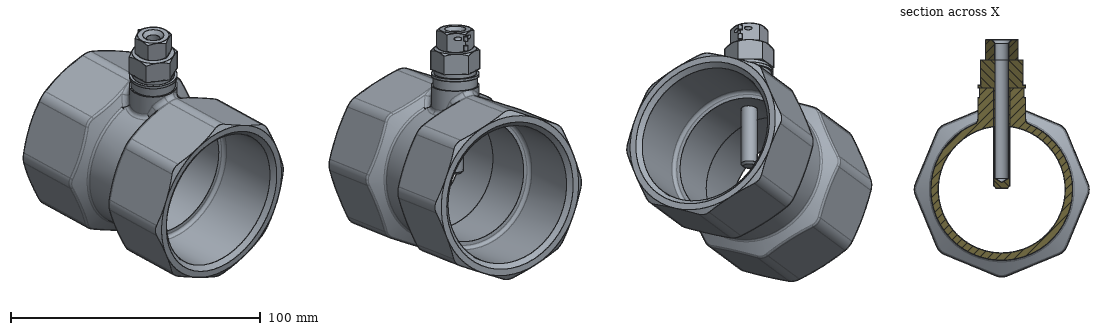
import cadquery as cq
import math

body_length = 80.1
octagon_height = 70.0
octagon_corner_radius = 6.1
cone_angle = 60
collar_shoulder_x = 10.0
neck_diameter = 56.8
edge_fillet = 1.1
bore_diameter = 50.7
socket_diameter = 56.6
socket_depth = 28.8
socket_floor_radius = 1.4
mouth_diameter = 60.4
mouth_chamfer_length = 1.9

boss_diameter = 19.2
boss_top = 36.8
boss_fillet = 2.0
spigot_diameter = 17.9
neck_fillet_gap_angle = 20
seat_z = 40.7

flange_diameter = 19.2
flange_height = 1.0
pocket_neck_diameter = 17.0
pocket_hex_bottom = 43.4
pocket_hex_top = 51.9
pocket_hex_flats = 17.1
pocket_hex_face_diameter = 17.0
rod_diameter = 6.6
rod_tip_z = 0.5
rod_tip_chamfer = 0.95
pocket_bore_diameter = 5.2
pocket_bore_bottom = 2.85
drill_point_angle = 118

total_height = 95.0
cap_hex_flats = 13.0
cap_hex_face_diameter = 12.6
cap_bore_diameter = 5.4
cap_countersink_diameter = 8.5
cap_countersink_depth = 1.5
seal_hole_diameter = 1.5
seal_hole_x = -6.0
seal_hole_z = 57.7
lug_width = 1.5
lug_reach = 8.6
lug_spans = ((52.7, 54.9), (56.8, 58.7))

hex_chamfer_angle = 30
clearance = 0.95

half_length = body_length / 2
half_side_angle = math.radians(180 / 8)
octagon_apothem = octagon_corner_radius + (
    octagon_height / 2 - octagon_corner_radius
) * math.cos(half_side_angle)
octagon_sharp_radius = octagon_apothem / math.cos(half_side_angle)
neck_radius = neck_diameter / 2
cone_slope = math.tan(math.radians(cone_angle))
neck_end_x = collar_shoulder_x - (octagon_apothem - neck_radius) / cone_slope
cap_top = total_height - octagon_height / 2


def upright_cylinder(diameter, bottom, top):
    return cq.Workplane("XY", origin=(0, 0, bottom)).circle(diameter / 2).extrude(top - bottom)


def make_octagon_body():
    """Octagon bar with rounded corners, turned to end chamfers, shoulder cones and neck."""
    octagon = (
        cq.Workplane("YZ", origin=(-half_length, 0, 0))
        .polygon(8, 2 * octagon_sharp_radius)
        .extrude(body_length)
        .edges("|X")
        .fillet(octagon_corner_radius)
    )
    outer_radius = octagon_sharp_radius + clearance
    cone_run = (outer_radius - octagon_apothem) / cone_slope
    half_profile = [
        (neck_end_x, neck_radius),
        (collar_shoulder_x + cone_run, outer_radius),
        (half_length - cone_run, outer_radius),
        (half_length, octagon_apothem),
        (half_length, 0),
    ]
    mirrored_profile = [(-x, radius) for x, radius in reversed(half_profile)]
    turned_envelope = (
        cq.Workplane("XY")
        .polyline(mirrored_profile + half_profile)
        .close()
        .revolve(360, (0, 0), (1, 0))
    )
    return octagon.intersect(turned_envelope)


def round_collar_shoulders(body):
    """Fillet the edges where the octagon flats and corners meet the shoulder cones."""
    corner_x = collar_shoulder_x + (octagon_height / 2 - octagon_apothem) / cone_slope
    for side in (-1, 1):
        shoulder_zone = cq.selectors.BoxSelector(
            (side * (neck_end_x + clearance), -octagon_height, -octagon_height),
            (side * (corner_x + clearance), octagon_height, octagon_height),
        )
        body = body.edges(shoulder_zone).fillet(edge_fillet)
    return body


def add_boss(body):
    """Add the round boss and blend its foot into the neck and the shoulders."""
    blend_top = boss_top + 3 * clearance
    boss = upright_cylinder(boss_diameter, 0, blend_top).rotate((0, 0, 0), (0, 0, 1), 90)
    body = body.union(boss)
    reach = boss_diameter / 2 + clearance / 2
    foot_zone = cq.selectors.BoxSelector(
        (-reach, -reach, bore_diameter / 2), (reach, reach, blend_top - clearance / 2)
    )
    body = body.edges(foot_zone).edges("not |Z").fillet(boss_fillet)
    surplus = upright_cylinder(2 * boss_diameter, boss_top, blend_top + clearance)
    return body.cut(surplus).union(upright_cylinder(spigot_diameter, boss_top - clearance, seat_z))


def neck_corner_fillet(side):
    """Ring that fills the corner between the neck and one shoulder cone with a concave arc."""
    corner_angle = math.radians(cone_angle)
    tangent_length = edge_fillet * math.tan(corner_angle / 2)
    neck_tangent = (side * (neck_end_x - tangent_length), neck_radius)
    cone_tangent = (
        side * (neck_end_x + tangent_length * math.cos(corner_angle)),
        neck_radius + tangent_length * math.sin(corner_angle),
    )
    arc_middle = (
        neck_tangent[0] + side * edge_fillet * math.sin(corner_angle / 2),
        neck_radius + edge_fillet * (1 - math.cos(corner_angle / 2)),
    )
    start_angle = 90 + neck_fillet_gap_angle
    root_radius = neck_radius - clearance
    return (
        cq.Workplane("XY")
        .moveTo(neck_tangent[0], root_radius)
        .lineTo(*neck_tangent)
        .threePointArc(arc_middle, cone_tangent)
        .lineTo(cone_tangent[0], root_radius)
        .close()
        .revolve(360 - 2 * neck_fillet_gap_angle, (0, 0), (1, 0))
        .rotate((0, 0, 0), (1, 0, 0), start_angle)
    )


def socket_bore(side):
    """Chamfered mouth, socket and rounded socket floor at one end of the bore."""
    socket_radius = socket_diameter / 2
    floor_x = half_length - socket_depth
    floor_centre = (floor_x + socket_floor_radius, socket_radius - socket_floor_radius)
    diagonal = socket_floor_radius * math.sqrt(0.5)
    return (
        cq.Workplane("XY")
        .moveTo(side * floor_x, 0)
        .lineTo(side * floor_x, floor_centre[1])
        .threePointArc(
            (side * (floor_centre[0] - diagonal), floor_centre[1] + diagonal),
            (side * floor_centre[0], socket_radius),
        )
        .lineTo(side * (half_length - mouth_chamfer_length), socket_radius)
        .lineTo(side * half_length, mouth_diameter / 2)
        .lineTo(side * half_length, 0)
        .close()
        .revolve(360, (0, 0), (1, 0))
    )


def make_housing():
    """Valve body: two octagon collars, round neck, boss, bore, sockets and rod hole."""
    body = add_boss(round_collar_shoulders(make_octagon_body()))
    through_bore = (
        cq.Workplane("YZ", origin=(-half_length, 0, 0)).circle(bore_diameter / 2).extrude(body_length)
    )
    body = body.cut(through_bore)
    for side in (-1, 1):
        body = body.union(neck_corner_fillet(side)).cut(socket_bore(side))
    return body.cut(upright_cylinder(rod_diameter, 0, seat_z + clearance))


def hexagon(flats, face_diameter, bottom, top, bottom_chamfered):
    """Upright hexagon with corners on the X axis and turned corner chamfers."""
    corner_radius = flats / math.sqrt(3)
    face_radius = face_diameter / 2
    chamfer_drop = (corner_radius - face_radius) * math.tan(math.radians(hex_chamfer_angle))
    blank = cq.Workplane("XY", origin=(0, 0, bottom)).polygon(6, 2 * corner_radius).extrude(top - bottom)
    profile = [(0, top), (face_radius, top), (corner_radius, top - chamfer_drop)]
    if bottom_chamfered:
        profile += [(corner_radius, bottom + chamfer_drop), (face_radius, bottom), (0, bottom)]
    else:
        profile += [(corner_radius, bottom), (0, bottom)]
    envelope = cq.Workplane("XZ").polyline(profile).close().revolve(360, (0, 0), (0, 1))
    return blank.intersect(envelope)


def make_pocket():
    """Sensor pocket: hexagon, neck and flange, with a blind-drilled rod reaching into the bore."""
    flange_top = seat_z + flange_height
    rod = upright_cylinder(rod_diameter, rod_tip_z, seat_z).faces("<Z").chamfer(rod_tip_chamfer)
    head = (
        upright_cylinder(flange_diameter, seat_z, flange_top)
        .union(upright_cylinder(pocket_neck_diameter, flange_top, pocket_hex_bottom))
        .union(hexagon(pocket_hex_flats, pocket_hex_face_diameter, pocket_hex_bottom, pocket_hex_top, False))
    )
    bore_radius = pocket_bore_diameter / 2
    point_depth = bore_radius / math.tan(math.radians(drill_point_angle / 2))
    drilling = (
        cq.Workplane("XZ")
        .moveTo(0, pocket_bore_bottom)
        .lineTo(bore_radius, pocket_bore_bottom + point_depth)
        .lineTo(bore_radius, pocket_hex_top)
        .lineTo(0, pocket_hex_top)
        .close()
        .revolve(360, (0, 0), (0, 1))
    )
    return head.union(rod).cut(drilling)


def seal_lug(bottom, top):
    """Small upright lug with a rounded tip, on the -X corner of the cap."""
    tip_radius = lug_width / 2
    tip_centre_x = -lug_reach + tip_radius
    inner_x = seal_hole_x - seal_hole_diameter / 2
    return (
        cq.Workplane("XY", origin=(0, 0, bottom))
        .moveTo(inner_x, -tip_radius)
        .lineTo(tip_centre_x, -tip_radius)
        .threePointArc((-lug_reach, 0), (tip_centre_x, tip_radius))
        .lineTo(inner_x, tip_radius)
        .close()
        .extrude(top - bottom)
    )


def make_cap():
    """Compression cap: hexagon with countersunk bore, cross hole for a seal wire and two lugs."""
    cap = hexagon(cap_hex_flats, cap_hex_face_diameter, pocket_hex_top, cap_top, True)
    cap = cap.cut(upright_cylinder(cap_bore_diameter, pocket_hex_top, cap_top))
    countersink = cq.Workplane("XY").add(
        cq.Solid.makeCone(
            cap_bore_diameter / 2,
            cap_countersink_diameter / 2,
            cap_countersink_depth,
            cq.Vector(0, 0, cap_top - cap_countersink_depth),
        )
    )
    cap = cap.cut(countersink)
    for bottom, top in lug_spans:
        cap = cap.union(seal_lug(bottom, top))
    seal_hole = (
        cq.Workplane("XZ", origin=(seal_hole_x, 0, seal_hole_z))
        .circle(seal_hole_diameter / 2)
        .extrude(cap_hex_flats, both=True)
    )
    return cap.cut(seal_hole)


housing = make_housing()
pocket = make_pocket()
cap = make_cap()

result = cq.Compound.makeCompound([housing.val(), pocket.val(), cap.val()])